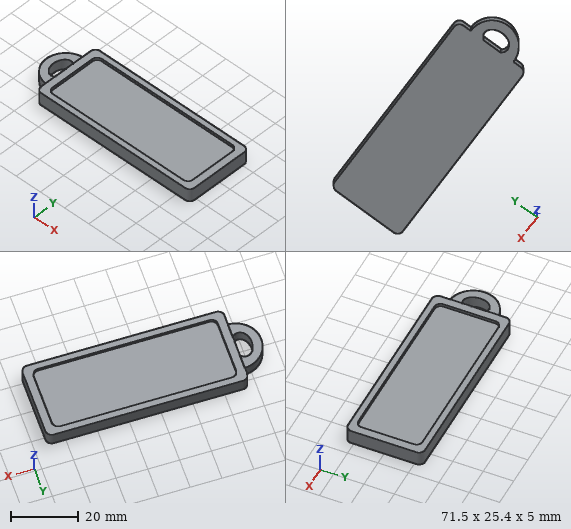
import cadquery as cq

overall_length = 71.5
plate_width = 25.4
plate_height = 5.0
corner_radius = 2.0

loop_radius = 8.0
loop_height = 4.0
plate_length = overall_length - loop_radius

eye_offset = 2.0
eye_half_length = 3.0
eye_half_width = 4.3

end_rim = 2.8
side_rim = 2.15
recess_depth = 1.0


def rounded_block(length, width, height):
    """Block starting at X = 0, with rounded vertical corners."""
    block = cq.Workplane("XY").box(length, width, height, centered=(False, True, False))
    return block.edges("|Z").fillet(corner_radius)


def make_loop():
    """Ring with an oval eye; its inner half lies within the plate."""
    ring = cq.Workplane("XY").circle(loop_radius).extrude(loop_height)
    eye = (
        cq.Workplane("XY")
        .center(-eye_offset, 0)
        .ellipse(eye_half_length, eye_half_width)
        .extrude(loop_height)
    )
    return ring.cut(eye)


def make_recess():
    """Volume removed from the top of the plate, leaving a rim all round."""
    recess_length = plate_length - 2 * end_rim
    recess_width = plate_width - 2 * side_rim
    recess = rounded_block(recess_length, recess_width, recess_depth)
    return recess.translate((end_rim, 0, plate_height - recess_depth))


plate = rounded_block(plate_length, plate_width, plate_height)
result = plate.union(make_loop()).cut(make_recess())